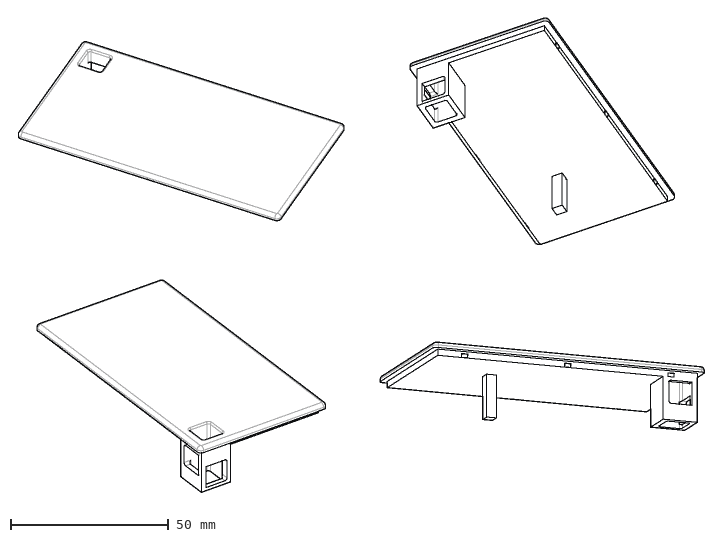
import cadquery as cq

length = 92.0
width = 49.0
plate_thickness = 2.0
corner_radius = 1.5
top_edge_radius = 1.2

lip_inset = 2.0
lip_height = 2.0

leg_height = 14.0
sleeve_length = 11.6
sleeve_width = 11.2
post_length = 3.3
post_width = 3.6
post_left = 63.5
post_back = 19.3

shaft_length = 7.9
shaft_width = 7.7
shaft_left = 3.8
shaft_back = 3.9
shaft_corner_radius = 0.7
shaft_mouth_radius = 0.55

window_width = 8.0
window_height = 7.7
window_back = shaft_back
window_sill = 1.2
window_corner_radius = 0.8

slot_length = shaft_length
slot_height = 7.5
slot_sill = 5.4
slot_corner_radius = 0.8

snap_length = 2.0
snap_height = 1.1
snap_reach = 0.5
snap_drop = 0.8
snap_pitch = 35.0

left = -length / 2
back = width / 2
lip_left = left + lip_inset
lip_back = back - lip_inset
lip_bottom = -plate_thickness - lip_height
base = lip_bottom - leg_height


def block_from_back_left(x, y, z, size_x, size_y, size_z):
    """Box whose back-left bottom corner is at (x, y, z)."""
    return cq.Workplane("XY").box(size_x, size_y, size_z, centered=False).translate((x, y - size_y, z))


def make_plate():
    plate = block_from_back_left(left, back, -plate_thickness, length, width, plate_thickness)
    return plate.edges("|Z").fillet(corner_radius).faces(">Z").edges().fillet(top_edge_radius)


def make_snap(x):
    """Wedge on the back of the lip: flat on top, tapering to the lip wall below."""
    snap_top = -plate_thickness - snap_drop
    return (
        cq.Workplane("YZ", origin=(x - snap_length / 2, 0, 0))
        .moveTo(lip_back, snap_top)
        .lineTo(lip_back + snap_reach, snap_top)
        .lineTo(lip_back, snap_top - snap_height)
        .close()
        .extrude(snap_length)
    )


def make_shaft():
    shaft = block_from_back_left(
        left + shaft_left, back - shaft_back, base, shaft_length, shaft_width, -base
    )
    return shaft.edges("|Z").fillet(shaft_corner_radius)


def make_window():
    """Cutter clearing the rounded corners of the shaft, rounded along its front edges."""
    depth = shaft_left + shaft_corner_radius - lip_inset
    window = block_from_back_left(
        lip_left, back - window_back, base + window_sill, depth, window_width, window_height
    )
    return window.edges("|X and <Y").fillet(window_corner_radius)


def make_slot():
    """Cutter clearing the rounded corners of the shaft, rounded along its right edges."""
    depth = shaft_back + shaft_corner_radius - lip_inset
    slot = block_from_back_left(
        left + shaft_left, lip_back, base + slot_sill, slot_length, depth, slot_height
    )
    return slot.edges("|Y and >X").fillet(slot_corner_radius)


lip = block_from_back_left(
    lip_left, lip_back, lip_bottom, length - 2 * lip_inset, width - 2 * lip_inset, lip_height
)
sleeve = block_from_back_left(lip_left, lip_back, base, sleeve_length, sleeve_width, leg_height)
post = block_from_back_left(left + post_left, back - post_back, base, post_length, post_width, leg_height)
body = make_plate().union(lip).union(sleeve).union(post)

for position in (-1, 0, 1):
    snap = make_snap(position * snap_pitch)
    body = body.union(snap).union(snap.mirror("XZ"))

body = body.cut(make_shaft())
margin = 0.1
mouth_zone = cq.selectors.BoxSelector(
    (left + shaft_left - margin, back - shaft_back + margin, -margin),
    (left + shaft_left + shaft_length + margin, back - shaft_back - shaft_width - margin, margin),
)
body = body.edges(mouth_zone).fillet(shaft_mouth_radius)
result = body.cut(make_window()).cut(make_slot())